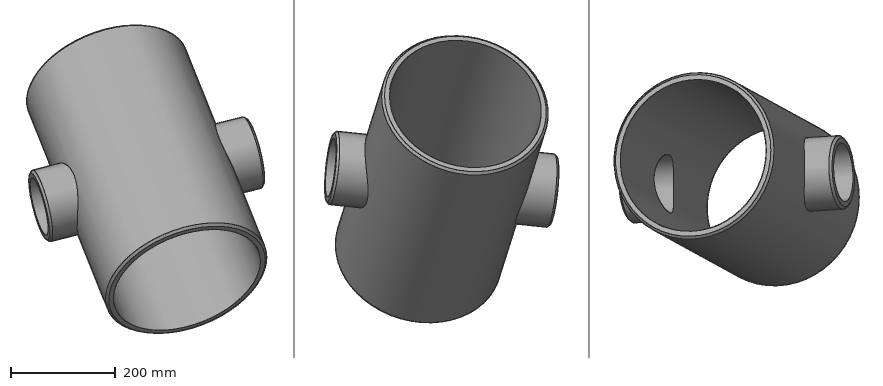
import cadquery as cq

RUN_LENGTH = 508.0
RUN_DIAMETER = 323.85

BRANCH_SPAN = 431.8
BRANCH_DIAMETER = 141.3

WALL = 14.3
BEVEL = 4.76

RUN_PLANE = "YZ"
BRANCH_PLANE = "XZ"


def round_bar(plane, diameter, length):
    """Solid cylinder square to the plane and centred on the origin."""
    return cq.Workplane(plane).circle(diameter / 2).extrude(length / 2, both=True)


def pipe_outside(plane, diameter, length):
    """Filled pipe with the outer rim beveled at both ends."""
    return round_bar(plane, diameter, length).edges("%CIRCLE").chamfer(BEVEL)


def pipe_bore(plane, diameter, length):
    """Through bore of a pipe, given its outer diameter."""
    return round_bar(plane, diameter - 2 * WALL, length)


run_outside = pipe_outside(RUN_PLANE, RUN_DIAMETER, RUN_LENGTH)
branch_outside = pipe_outside(BRANCH_PLANE, BRANCH_DIAMETER, BRANCH_SPAN)
run_bore = pipe_bore(RUN_PLANE, RUN_DIAMETER, RUN_LENGTH)
branch_bore = pipe_bore(BRANCH_PLANE, BRANCH_DIAMETER, BRANCH_SPAN)

result = run_outside.union(branch_outside).cut(run_bore).cut(branch_bore)